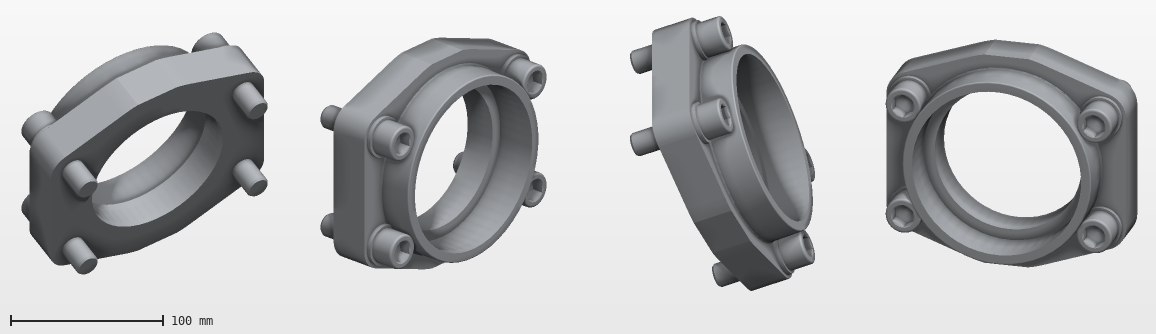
import cadquery as cq
import math

plate_thickness = 27.0
plate_width = 163.0
plate_height = 147.0
crown_radius = 75.0
bore_diameter = 100.0

collar_length = 23.0
collar_rim_radius = 64.2
collar_root_radius = 64.7
collar_rim_fillet = 1.0
collar_root_fillet = 1.0
socket_diameter = 115.0
socket_depth = 28.0

bolt_spacing_y = 130.0
bolt_spacing_z = 77.8

shank_diameter = 16.0
shank_protrusion = 20.0
shank_tip_chamfer_length = 1.5
shank_tip_chamfer_depth = 1.0
washer_diameter = 28.0
washer_thickness = 3.0
head_diameter = 24.0
head_height = 16.0
head_fillet = 1.6
hex_sides = 6
hex_across_flats = 14.0
hex_depth = 8.0
hex_tip_angle = 120.0

plate_front = -plate_thickness
collar_rim = plate_front - collar_length
washer_front = plate_front - washer_thickness
head_front = washer_front - head_height

bolt_y = bolt_spacing_y / 2
bolt_z = bolt_spacing_z / 2
corner_radius = plate_width / 2 - bolt_y
hex_across_corners = hex_across_flats / math.cos(math.pi / hex_sides)


def yz_plane(x):
    """Sketch plane at X = x: local x is +Y, local y is +Z, normal is +X."""
    return cq.Workplane("YZ", origin=(x, 0, 0))


def revolve_about_x(profile):
    """Solid of revolution from (x, radius) points, closed back to the first point."""
    return cq.Workplane("XY").polyline(profile).close().revolve(360, (0, 0, 0), (1, 0, 0))


def polar(radius, angle, centre=(0.0, 0.0)):
    """Point at the given radius and angle (radians) around a centre."""
    return (centre[0] + radius * math.cos(angle), centre[1] + radius * math.sin(angle))


def make_plate_quarter():
    """Quarter of the plate; a sloping edge is tangent to the crown and corner arcs."""
    bolt_centre = (bolt_y, bolt_z)
    slope_normal = math.atan2(bolt_z, bolt_y) + math.acos(
        (crown_radius - corner_radius) / math.hypot(bolt_y, bolt_z)
    )
    crown_start = math.asin(plate_height / 2 / crown_radius)
    return (
        yz_plane(plate_front)
        .moveTo(0, 0)
        .lineTo(plate_width / 2, 0)
        .lineTo(plate_width / 2, bolt_z)
        .threePointArc(
            polar(corner_radius, slope_normal / 2, bolt_centre),
            polar(corner_radius, slope_normal, bolt_centre),
        )
        .lineTo(*polar(crown_radius, slope_normal))
        .threePointArc(
            polar(crown_radius, (slope_normal + crown_start) / 2),
            polar(crown_radius, crown_start),
        )
        .lineTo(0, plate_height / 2)
        .close()
        .extrude(plate_thickness)
    )


def make_plate():
    """Whole plate, mirrored from its quarter."""
    quarter = make_plate_quarter()
    half = quarter.union(quarter.mirror("XZ"))
    return half.union(half.mirror("XY")).clean()


def make_collar():
    """Tapered solid collar with a rounded rim."""
    body = revolve_about_x(
        [
            (plate_front, 0),
            (collar_rim, 0),
            (collar_rim, collar_rim_radius),
            (plate_front, collar_root_radius),
        ]
    )
    return body.faces("<X").edges().fillet(collar_rim_fillet)


def fillet_collar_root(body):
    """Round the circle where the collar meets the front face of the plate."""
    margin = 0.1
    reach = collar_root_radius + margin
    root_circle = cq.selectors.BoxSelector(
        (plate_front - margin, -reach, -reach),
        (plate_front + margin, reach, reach),
        boundingbox=True,
    )
    return body.edges(root_circle).fillet(collar_root_fillet)


def make_bolt():
    """Bolt with its washer on the X axis, before its hexagon recess is cut."""
    tip = shank_protrusion
    shank_radius = shank_diameter / 2
    shank = revolve_about_x(
        [
            (washer_front, 0),
            (washer_front, shank_radius),
            (tip - shank_tip_chamfer_length, shank_radius),
            (tip, shank_radius - shank_tip_chamfer_depth),
            (tip, 0),
        ]
    )
    washer = yz_plane(washer_front).circle(washer_diameter / 2).extrude(washer_thickness)
    head = yz_plane(head_front).circle(head_diameter / 2).extrude(head_height)
    head = head.faces("<X").edges().fillet(head_fillet)
    return head.union(washer).union(shank)


def make_hex_recess():
    """Hexagon recess with a drill-point bottom and a chamfered mouth, on the X axis."""
    corner = hex_across_corners / 2
    tip_slope = math.tan(math.radians(90 - hex_tip_angle / 2))
    cone_depth = corner * tip_slope
    mouth_depth = (hex_across_corners - hex_across_flats) / 2 * tip_slope
    hexagon = (
        yz_plane(head_front)
        .polygon(hex_sides, hex_across_corners)
        .extrude(hex_depth + cone_depth)
        .rotate((0, 0, 0), (1, 0, 0), 90)
    )
    drill = revolve_about_x(
        [
            (head_front, 0),
            (head_front, corner),
            (head_front + hex_depth, corner),
            (head_front + hex_depth + cone_depth, 0),
        ]
    )
    mouth = revolve_about_x(
        [
            (head_front, 0),
            (head_front, corner),
            (head_front + mouth_depth, hex_across_flats / 2),
            (head_front + mouth_depth, 0),
        ]
    )
    return hexagon.intersect(drill).union(mouth)


body = make_plate().union(make_collar())
body = fillet_collar_root(body)

bolt = make_bolt()
hex_recess = make_hex_recess()
bolt_positions = [(0, y, z) for y in (-bolt_y, bolt_y) for z in (-bolt_z, bolt_z)]
for position in bolt_positions:
    body = body.union(bolt.translate(position))
for position in bolt_positions:
    body = body.cut(hex_recess.translate(position))

bore = yz_plane(collar_rim).circle(bore_diameter / 2).extrude(collar_length + plate_thickness)
socket = yz_plane(collar_rim).circle(socket_diameter / 2).extrude(socket_depth)

result = body.cut(bore).cut(socket)